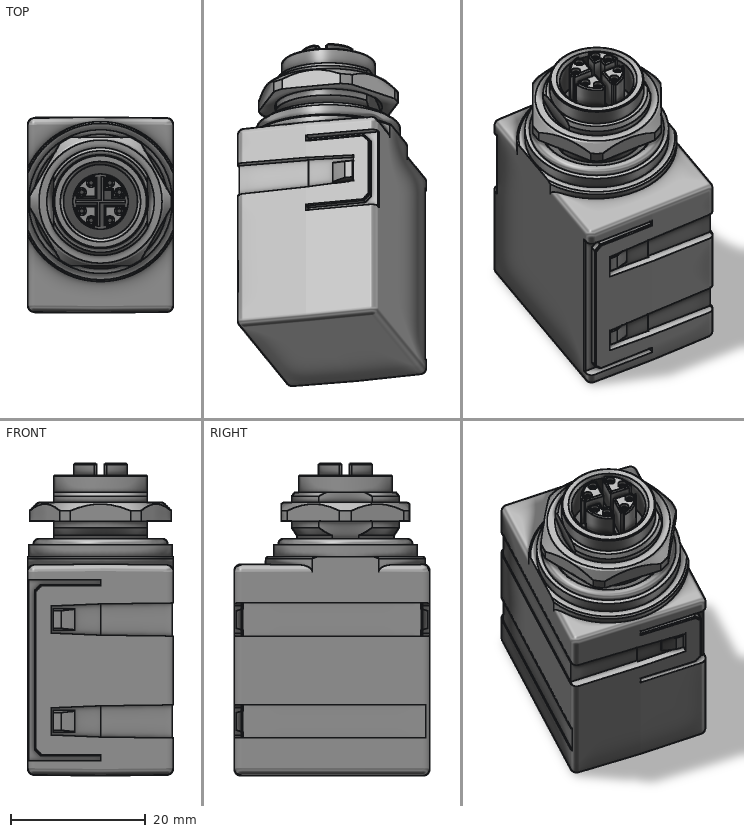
import cadquery as cq
import math

half_width = 10.8
back_y = 12.5
front_y = -16.5
housing_height = 31.4
draft_angle = 0.6
housing_fillet = 1.0

pocket_depth = 1.45
pocket_edge_chamfer = 0.2
plate_thickness = 1.05
plate_end_x = -9.8
plate_gap = 0.75
plate_corner = 0.95
plate_edge_chamfer = 0.2
front_pocket_z = (2.22, 29.1)
back_pocket_z = (17.2, 29.0)

upper_band_z = 23.18
lower_band_z = 8.05
band_start_x = -7.3
band_start_width = 4.05
band_seam_width = 4.65
band_end_width = 4.9
band_depth = 1.3
side_band_depth = 0.15

nose_start_x = -7.0
nose_ramp_x = -5.85
nose_end_x = -3.8
nose_width = 3.25
nose_tip_width = 2.6
nose_height = 1.1
nose_end_height = 0.35

flange_radius = 11.85
flange_bottom = 30.2
flange_top = 32.5
flange_chamfer = 0.3
ring_radius = 10.65
ring_top = 34.3
seal_radius = 20.0 / 2
seal_tube_radius = 0.9
neck_radius = 7.25
neck_top = 35.65
thread_radius = 16.0 / 2
thread_bottom = 36.8
thread_top = 42.05
thread_chamfer_width = 0.45
thread_chamfer_height = 0.6
collar_radius = 6.95
collar_top = 44.55
collar_chamfer = 0.15
cup_radius = 11.0 / 2
cup_floor = 38.95
cup_rim_chamfer = 0.45

nut_bottom = 37.78
nut_top = 40.55
nut_across_flats = 19.05
nut_corner_radius = 10.5
nut_chamfer = 1.05
nut_rim_width = 0.32
nut_rim_height = 0.2
nut_bore_radius = 7.1
nut_bore_chamfer = 0.9

insert_radius = 8.2 / 2
insert_top = 46.35
insert_chamfer = 0.25
cross_slot_width = 1.05
slot_end_width = 1.8
slot_end_depth = 0.6
slot_floor = 40.8
key_notch_size = 1.65
shield_thickness = 0.35
shield_half_length = 3.65
shield_top = 41.5
shield_offset = 0.32
contact_near = 1.4
contact_far = 2.8
socket_diameter = 1.3
socket_depth = 0.7
contact_diameter = 0.75
contact_depth = 2.3


def block(x_range, y_range, z_range):
    """Box between the given limits; the order of each pair does not matter."""
    spans = [sorted(pair) for pair in (x_range, y_range, z_range)]
    sizes = [high - low for low, high in spans]
    corner = tuple(low for low, high in spans)
    return cq.Workplane("XY").box(*sizes, centered=False).translate(corner)


def cylinder(radius, bottom, top):
    return cq.Workplane("XY").workplane(offset=bottom).circle(radius).extrude(top - bottom)


def half_shell():
    """Rounded, drafted shell from x = 0 to +half_width."""
    shell = (
        cq.Workplane("YZ")
        .center((front_y + back_y) / 2, housing_height / 2)
        .rect(back_y - front_y, housing_height)
        .extrude(half_width, taper=draft_angle)
    )
    return shell.edges("not <X").fillet(housing_fillet)


def pocket(face_y, inward, pocket_z):
    """Recess across the -X shell, open on its side, with a chamfered floor edge."""
    floor_y = face_y + inward * pocket_depth
    outline = [
        (0, face_y),
        (0, floor_y),
        (pocket_edge_chamfer - half_width, floor_y),
        (-half_width, floor_y + inward * pocket_edge_chamfer),
        (-half_width, face_y),
    ]
    bottom, top = pocket_z
    return cq.Workplane("XY").workplane(offset=bottom).polyline(outline).close().extrude(top - bottom)


def latch_plate(face_y, inward, pocket_z):
    """Floating tongue with cut corners; inward is the sign of Y that points into the housing."""
    low = pocket_z[0] + plate_gap
    high = pocket_z[1] - plate_gap
    plate = block((plate_end_x, 0), (face_y, face_y + inward * plate_thickness), (low, high))
    plate = plate.edges("|Y and <X").chamfer(plate_corner)
    outer_face = "<Y" if inward > 0 else ">Y"
    return plate.faces(outer_face).edges("not >X").chamfer(plate_edge_chamfer)


def snap_band(face_y, inward, band_z):
    """Tapered channel that runs from the latch plate to the +X end."""
    start = band_start_width / 2
    seam = band_seam_width / 2
    end = band_end_width / 2
    outline = [
        (band_start_x, -start),
        (0, -seam),
        (half_width, -end),
        (half_width, end),
        (0, seam),
        (band_start_x, start),
    ]
    band = cq.Workplane("XZ").polyline(outline).close().extrude(-inward * band_depth)
    return band.translate((0, face_y, band_z))


def latch_nose(face_y, inward, band_z):
    """Wedge on the pocket floor: flat tip with bevelled sides, then a ramp down towards the seam."""
    floor_y = face_y + inward * pocket_depth
    top_y = floor_y - inward * nose_height
    outline = [
        (nose_start_x, floor_y),
        (nose_start_x, top_y),
        (nose_ramp_x, top_y),
        (nose_end_x, floor_y - inward * nose_end_height),
        (nose_end_x, floor_y),
    ]
    wedge = (
        cq.Workplane("XY")
        .workplane(offset=band_z - nose_width / 2)
        .polyline(outline)
        .close()
        .extrude(nose_width)
    )
    bevelled_section = [
        (floor_y, band_z - nose_width / 2),
        (floor_y, band_z + nose_width / 2),
        (top_y, band_z + nose_tip_width / 2),
        (top_y, band_z - nose_tip_width / 2),
    ]
    bevels = (
        cq.Workplane("YZ")
        .workplane(offset=nose_start_x)
        .polyline(bevelled_section)
        .close()
        .extrude(nose_end_x - nose_start_x)
    )
    return wedge.intersect(bevels)


def housing():
    right_shell = half_shell()
    body = right_shell.union(right_shell.mirror("YZ"))
    latch_sides = [
        (front_y, 1, front_pocket_z, (lower_band_z, upper_band_z)),
        (back_y, -1, back_pocket_z, (upper_band_z,)),
    ]
    for face_y, inward, pocket_z, band_heights in latch_sides:
        body = body.cut(pocket(face_y, inward, pocket_z))
        body = body.union(latch_plate(face_y, inward, pocket_z))
        for band_z in band_heights:
            body = body.cut(snap_band(face_y, inward, band_z))
            body = body.union(latch_nose(face_y, inward, band_z))
    for band_z in (lower_band_z, upper_band_z):
        band_range = (band_z - band_end_width / 2, band_z + band_end_width / 2)
        body = body.cut(block((half_width - side_band_depth, half_width), (front_y, back_y), band_range))
    return body


def base_rings():
    """Flange and ring trimmed to the housing width, with an O-ring seal on top."""
    flange = cylinder(flange_radius, flange_bottom, flange_top).faces(">Z").chamfer(flange_chamfer)
    trim = block((-half_width, half_width), (-flange_radius, flange_radius), (flange_bottom, flange_top))
    flange = flange.intersect(trim)
    ring = cylinder(ring_radius, flange_top, ring_top)
    ring = ring.intersect(block((-half_width, half_width), (front_y, back_y), (flange_top, ring_top)))
    seal = (
        cq.Workplane("XZ")
        .center(seal_radius - seal_tube_radius, ring_top)
        .circle(seal_tube_radius)
        .revolve(360, (seal_tube_radius - seal_radius, 0, 0), (seal_tube_radius - seal_radius, 1, 0))
    )
    return flange.union(ring).union(seal)


def thread_and_collar():
    """Threaded sleeve with two flats and a plain collar on top."""
    sleeve_profile = [
        (0, ring_top),
        (neck_radius, ring_top),
        (neck_radius, neck_top),
        (thread_radius, thread_bottom),
        (thread_radius, thread_top - thread_chamfer_height),
        (thread_radius - thread_chamfer_width, thread_top),
        (0, thread_top),
    ]
    sleeve = cq.Workplane("XZ").polyline(sleeve_profile).close().revolve(360, (0, 0, 0), (0, 1, 0))
    flats = block(
        (-collar_radius, collar_radius), (-thread_radius, thread_radius), (ring_top, thread_top)
    )
    collar = cylinder(collar_radius, thread_top, collar_top).faces(">Z").chamfer(collar_chamfer)
    return sleeve.intersect(flats).union(collar)


def cup():
    """Bore of the collar, widened at the rim."""
    bore = cylinder(cup_radius, cup_floor, collar_top)
    rim = (
        cq.Workplane("XY")
        .workplane(offset=collar_top)
        .circle(cup_radius + cup_rim_chamfer)
        .extrude(-cup_rim_chamfer, taper=45)
    )
    return bore.union(rim)


def nut():
    across_corners = nut_across_flats / math.cos(math.radians(30))
    hexagon = (
        cq.Workplane("XY")
        .workplane(offset=nut_bottom)
        .polygon(6, across_corners)
        .extrude(nut_top - nut_bottom)
    )
    rim_bottom = nut_top - nut_rim_height
    rim_radius = nut_corner_radius - nut_chamfer
    bore_top_radius = nut_bore_radius + nut_bore_chamfer
    turned_profile = [
        (bore_top_radius, nut_bottom),
        (nut_corner_radius, nut_bottom),
        (nut_corner_radius, rim_bottom - nut_chamfer),
        (rim_radius, rim_bottom),
        (rim_radius - nut_rim_width, nut_top),
        (bore_top_radius, nut_top),
        (nut_bore_radius, nut_top - nut_bore_chamfer),
        (nut_bore_radius, nut_bottom + nut_bore_chamfer),
    ]
    turned = cq.Workplane("XZ").polyline(turned_profile).close().revolve(360, (0, 0, 0), (0, 1, 0))
    return hexagon.intersect(turned)


def contact_insert():
    """Four contact quadrants divided by a cross slot that holds a recessed shield."""
    slot_edge = cross_slot_width / 2
    slot_range = (-slot_edge, slot_edge)
    full_range = (-insert_radius, insert_radius)
    open_z = (slot_floor, insert_top)
    insert = cylinder(insert_radius, cup_floor, insert_top)
    insert = insert.cut(block(slot_range, full_range, open_z))
    insert = insert.cut(block(full_range, slot_range, open_z))
    relief_range = (-slot_end_width / 2, slot_end_width / 2)
    for side in (-1, 1):
        end_range = (side * (insert_radius - slot_end_depth), side * insert_radius)
        insert = insert.cut(block(relief_range, end_range, open_z))
        insert = insert.cut(block(end_range, relief_range, open_z))
    insert = insert.cut(block((0, key_notch_size), (0, key_notch_size), open_z))
    insert = insert.faces(">Z").edges().chamfer(insert_chamfer)

    half_shield = shield_thickness / 2
    shield_z = (slot_floor, shield_top)
    shield_range = (-half_shield, half_shield)
    insert = insert.union(block((-shield_half_length, shield_half_length), shield_range, shield_z))
    for side in (-1, 1):
        vane = block(shield_range, (0, side * shield_half_length), shield_z)
        insert = insert.union(vane.translate((side * shield_offset, 0, 0)))

    signs = [(sx, sy) for sx in (-1, 1) for sy in (-1, 1)]
    reaches = [(contact_near, contact_far), (contact_far, contact_near)]
    contacts = [(sx * x, sy * y) for sx, sy in signs for x, y in reaches]
    return (
        insert.faces(">Z")
        .workplane(origin=(0, 0, insert_top))
        .pushPoints(contacts)
        .cboreHole(contact_diameter, socket_diameter, socket_depth, contact_depth)
    )


connector = base_rings().union(thread_and_collar()).union(nut()).cut(cup()).union(contact_insert())
result = housing().union(connector)